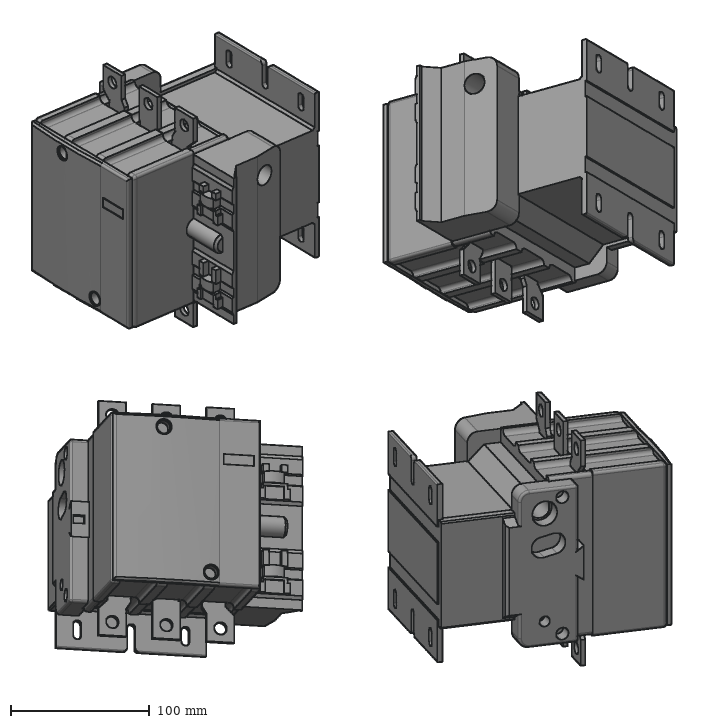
import cadquery as cq


SIDES = (-1, 1)
POLES = (-1, 0, 1)

PLATE_WIDTH = 111.0
PLATE_HALF_HEIGHT = 68.8
PLATE_THICKNESS = 4.2
PLATE_FOOT_START = 36.0
PAD_HALF_HEIGHT = 23.7
SLOT_WIDTH = 6.0
SLOT_LENGTH = 14.0
SLOT_Z = 54.8
SLOT_X = 40.0
NOTCH_BOTTOM = 48.2
NOTCH_ROUND = 3.0
PLATE_EDGE_ROUND = 1.0
CORNER_RIB = 2.0

BODY_LEFT = -53.3
BODY_RIGHT = PLATE_WIDTH / 2
BODY_BACK = -1.3
BODY_HALF_HEIGHT = 38.5
RAMP_START = -60.3
RAMP_END = -72.6
SHOULDER_HALF_HEIGHT = 50.3

END_BLOCK_LEFT = -60.9
END_BLOCK_FRONT = -58.5
END_BLOCK_HALF_HEIGHT = 41.3
END_BLOCK_CHAMFER = 1.2

MID_HALF_WIDTH = 54.6
MID_BACK = -85.1
MID_HALF_HEIGHT = 62.8
MID_CORNER = 3.0

FRONT_HALF_WIDTH = 55.3
FRONT_BACK = -118.3
FRONT_END = -175.2
FRONT_HALF_HEIGHT = 63.5
FRONT_CORNER = 2.2
FRONT_EDGE_ROUND = 3.2

CHANNEL_PITCH = 35.0
CHANNEL_FLOOR = 58.6
MID_CHANNEL_WIDTH = 28.4
MID_CHANNEL_RADIUS = 4.2
FRONT_CHANNEL_WIDTH = 27.2
FRONT_CHANNEL_RADIUS = 3.2
POLE_SLOT_WIDTH = 17.2

BAR_PITCH = 40.0
BAR_WIDTH = 20.4
BAR_NECK_WIDTH = 17.0
BAR_BACK = -110.8
BAR_THICKNESS = 3.5
BAR_TOP = 87.0
BAR_BOTTOM = 50.0
BAR_SHOULDER = 67.0
BAR_OUTER_TAPER = 6.5
BAR_INNER_TAPER = 5.2
BAR_HOLE_Z = 76.9
BAR_HOLE_DIAMETER = 9.2

CAP_HALF_WIDTH = 54.2
CAP_HALF_HEIGHT = 62.2
CAP_LEFT_Y = -179.0
CAP_PEAK_X = -13.0
CAP_PEAK_Y = -180.73
CAP_SEAM_X = 23.6
CAP_SEAM_Y = -179.5
CAP_EDGE_ROUND = 1.8
SCREWS = ((-17.4, 53.0), (17.7, -52.9))
SCREW_DIAMETER = 9.4
SCREW_RIM_DIAMETER = 11.2
SCREW_RIM_DEPTH = 1.5
SCREW_DEPTH = 8.0
LABEL_X = 38.1
LABEL_Z = 31.6
LABEL_WIDTH = 22.4
LABEL_HEIGHT = 7.6
LABEL_RAISE = 0.5

COVER_LEFT = -68.9
COVER_RIGHT = -53.3
COVER_FRONT_STEP = -55.3
COVER_BACK = -57.3
COVER_FRONT = -102.8
COVER_HALF_HEIGHT = 60.6
COVER_CORNER = 8.0
COVER_EDGE_ROUND = 2.0
TONGUE_FRONT = -107.0
TONGUE_ROOT_HALF = 9.0
TONGUE_TIP_HALF = 13.2
TONGUE_ROOT = -100.9
TONGUE_POCKET_X = -62.9
TONGUE_POCKET_WIDTH = 8.4
TONGUE_POCKET_HEIGHT = 6.2
TONGUE_POCKET_DEPTH = 4.0
TAIL_BACK = -48.0
TAIL_OUTER_HALF = 33.9
TAIL_INNER_HALF = 38.6
TAIL_CHAMFER = 2.2
SHAFT_Y = -77.2
SHAFT_Z = 41.7
SHAFT_DIAMETER = 15.7
SHAFT_RIM_DIAMETER = 18.8
BLIND_HOLE_DEPTH = 12.0
SMALL_HOLE_DIAMETER = 7.8
SCREW_HOLE_DIAMETER = 9.3
SCREW_HOLE_Y = -90.6
SCREW_HOLE_Z = 52.7
OVAL_REAR = (-75.2, 15.7)
OVAL_FRONT = (-84.9, 17.6)
OVAL_RADIUS = 8.0

MODULE_RIGHT = 99.6
MODULE_BACK = -59.7
MODULE_BACK_RIGHT = 82.5
MODULE_WAIST_X = 87.1
MODULE_WAIST_BACK = -85.1
MODULE_WAIST_FRONT = -105.3
FLANGE_BACK = -115.4
FLANGE_FACE = -118.2
FLANGE_FOOT_X = 97.0
MODULE_HALF_HEIGHT = 60.8
STRIP_FACE = -119.6
STRIP_OUTER = 53.4
STRIP_INNER = 16.4
STRIP_BEVEL = 2.75
STRIP_PITCH = 69.8
GROOVE_TOP = 39.6
GROOVE_BOTTOM = 30.7
GROOVE_BEVEL = 0.9

CLIP_X = 78.1
CLIP_FRONT = -124.6
CLIP_FOOT_WIDTH = 22.3
CLIP_FOOT_TOP = 26.8
CLIP_WIDTH = 18.2
UPPER_CLIP_TOP = 44.7
LOWER_CLIP_TOP = STRIP_OUTER - STRIP_BEVEL
CLIP_GAP_WIDTH = 9.3
CLIP_BRIDGE_LEFT = 69.9
CLIP_BRIDGE_RIGHT = 84.7
CLIP_BRIDGE_FRONT = -126.5
CLIP_BRIDGE_TOP = 39.2
CLIP_POCKET_LEFT = 70.5
CLIP_POCKET_TOP = 28.8
CLIP_POCKET_DEPTH = 2.0

PLUNGER_RADIUS = 7.8
PLUNGER_RIGHT = 87.5
PLUNGER_FRONT = -125.0
PLUNGER_CHAMFER = 2.0

OVERLAP = 1.0


def block(x0, x1, y0, y1, z0, z1):
    """Box between two corners given in any order."""
    return cq.Workplane("XY").box(abs(x1 - x0), abs(y1 - y0), abs(z1 - z0)).translate(
        ((x0 + x1) / 2, (y0 + y1) / 2, (z0 + z1) / 2)
    )


def side_prism(points, x0, x1):
    """Prism along X with a (Y, Z) outline."""
    return cq.Workplane("YZ", origin=(x0, 0, 0)).polyline(points).close().extrude(x1 - x0)


def side_cylinder(y, z, diameter, x0, x1):
    """Cylinder along X."""
    return cq.Workplane("YZ", origin=(x0, 0, 0)).center(y, z).circle(diameter / 2).extrude(x1 - x0)


def front_cylinder(x, z, diameter, y_front, depth):
    """Cylinder along Y that runs back from y_front."""
    return cq.Workplane("XZ", origin=(x, y_front, z)).circle(diameter / 2).extrude(-depth)


def mirror_z(shape):
    """Shape together with its mirror image below Z = 0."""
    return shape.union(shape.mirror("XY"))


def mounting_foot():
    """Upper half of the mounting plate with two slots and the open notch."""
    half = PLATE_WIDTH / 2
    foot = block(-half, half, 0, -PLATE_THICKNESS, PLATE_FOOT_START, PLATE_HALF_HEIGHT)
    foot = foot.faces(">Z").edges("|X").fillet(PLATE_EDGE_ROUND)
    slots = (
        cq.Workplane("XZ")
        .pushPoints([(side * SLOT_X, SLOT_Z) for side in SIDES])
        .slot2D(SLOT_LENGTH, SLOT_WIDTH, 90)
        .extrude(PLATE_THICKNESS)
    )
    slot_half = SLOT_WIDTH / 2
    mouth = slot_half + NOTCH_ROUND
    notch = (
        cq.Workplane("XZ")
        .moveTo(-mouth, PLATE_HALF_HEIGHT)
        .radiusArc((-slot_half, PLATE_HALF_HEIGHT - NOTCH_ROUND), NOTCH_ROUND)
        .lineTo(-slot_half, NOTCH_BOTTOM + slot_half)
        .threePointArc((0, NOTCH_BOTTOM), (slot_half, NOTCH_BOTTOM + slot_half))
        .lineTo(slot_half, PLATE_HALF_HEIGHT - NOTCH_ROUND)
        .radiusArc((mouth, PLATE_HALF_HEIGHT), NOTCH_ROUND)
        .close()
        .extrude(PLATE_THICKNESS)
    )
    inside_corner = side_prism(
        [
            (-PLATE_THICKNESS, BODY_HALF_HEIGHT),
            (-PLATE_THICKNESS - CORNER_RIB, BODY_HALF_HEIGHT),
            (-PLATE_THICKNESS, BODY_HALF_HEIGHT + CORNER_RIB),
        ],
        BODY_LEFT,
        BODY_RIGHT,
    )
    return foot.cut(slots).cut(notch).union(inside_corner)


def rear_body():
    """Core of the housing, end block and mounting plate."""
    upper = [
        (BODY_BACK, BODY_HALF_HEIGHT),
        (RAMP_START, BODY_HALF_HEIGHT),
        (RAMP_END, SHOULDER_HALF_HEIGHT),
        (MID_BACK - OVERLAP, SHOULDER_HALF_HEIGHT),
    ]
    lower = [(y, -z) for y, z in reversed(upper)]
    core = side_prism(upper + lower, BODY_LEFT, BODY_RIGHT)
    front_trim = block(
        MID_HALF_WIDTH,
        BODY_RIGHT,
        RAMP_START,
        MID_BACK - OVERLAP,
        -SHOULDER_HALF_HEIGHT,
        SHOULDER_HALF_HEIGHT,
    )
    end_block = block(
        END_BLOCK_LEFT, BODY_LEFT, BODY_BACK, END_BLOCK_FRONT, -END_BLOCK_HALF_HEIGHT, END_BLOCK_HALF_HEIGHT
    )
    end_block = end_block.faces("<X").edges("|Y").chamfer(END_BLOCK_CHAMFER)
    half = PLATE_WIDTH / 2
    pad = block(-half, half, 0, BODY_BACK, -PAD_HALF_HEIGHT, PAD_HALF_HEIGHT)
    return core.cut(front_trim).union(end_block).union(pad).union(mirror_z(mounting_foot()))


def channels(width, radius, top, y_back, y_front):
    """One round-cornered channel per pole, on the top and the bottom."""
    half = width / 2
    bend = CHANNEL_FLOOR + radius
    cutter = None
    for pole in POLES:
        channel = (
            cq.Workplane("XZ", origin=(pole * CHANNEL_PITCH, y_back, 0))
            .moveTo(-half, top + OVERLAP)
            .lineTo(-half, bend)
            .radiusArc((-half + radius, CHANNEL_FLOOR), -radius)
            .lineTo(half - radius, CHANNEL_FLOOR)
            .radiusArc((half, bend), -radius)
            .lineTo(half, top + OVERLAP)
            .close()
            .extrude(y_back - y_front)
        )
        cutter = channel if cutter is None else cutter.union(channel)
    return mirror_z(cutter)


def middle_block():
    """Block behind the front block, with the channels that hold the terminal bars."""
    body = block(
        -MID_HALF_WIDTH, MID_HALF_WIDTH, MID_BACK, FRONT_BACK, -MID_HALF_HEIGHT, MID_HALF_HEIGHT
    )
    body = body.edges("|Y").fillet(MID_CORNER)
    body = body.cut(
        channels(MID_CHANNEL_WIDTH, MID_CHANNEL_RADIUS, MID_HALF_HEIGHT, MID_BACK, FRONT_BACK)
    )
    for pole in POLES:
        centre = pole * CHANNEL_PITCH
        slot = block(
            centre - POLE_SLOT_WIDTH / 2,
            centre + POLE_SLOT_WIDTH / 2,
            BAR_BACK - BAR_THICKNESS,
            FRONT_BACK,
            -MID_HALF_HEIGHT,
            MID_HALF_HEIGHT,
        )
        body = body.cut(slot)
    return body


def front_block():
    """Main front housing with ribs between its channels."""
    body = block(
        -FRONT_HALF_WIDTH, FRONT_HALF_WIDTH, FRONT_BACK, FRONT_END, -FRONT_HALF_HEIGHT, FRONT_HALF_HEIGHT
    )
    body = body.edges("|Y").fillet(FRONT_CORNER)
    body = body.faces("<Y").edges().fillet(FRONT_EDGE_ROUND)
    return body.cut(
        channels(FRONT_CHANNEL_WIDTH, FRONT_CHANNEL_RADIUS, FRONT_HALF_HEIGHT, FRONT_BACK, FRONT_END)
    )


def front_cap():
    """Bowed cover with a flat strip, label field and two screw holes."""
    cap = (
        cq.Workplane("XY", origin=(0, 0, -CAP_HALF_HEIGHT))
        .moveTo(-CAP_HALF_WIDTH, FRONT_END)
        .lineTo(-CAP_HALF_WIDTH, CAP_LEFT_Y)
        .threePointArc((CAP_PEAK_X, CAP_PEAK_Y), (CAP_SEAM_X, CAP_SEAM_Y))
        .lineTo(CAP_HALF_WIDTH, CAP_SEAM_Y)
        .lineTo(CAP_HALF_WIDTH, FRONT_END)
        .close()
        .extrude(2 * CAP_HALF_HEIGHT)
    )
    outer_edges = cq.selectors.BoxSelector(
        (-CAP_HALF_WIDTH - OVERLAP, CAP_PEAK_Y - OVERLAP, -CAP_HALF_HEIGHT - OVERLAP),
        (CAP_HALF_WIDTH + OVERLAP, CAP_LEFT_Y + OVERLAP / 2, CAP_HALF_HEIGHT + OVERLAP),
    )
    seam = cq.selectors.BoxSelector(
        (CAP_SEAM_X - OVERLAP, CAP_PEAK_Y, -OVERLAP), (CAP_SEAM_X + OVERLAP, CAP_LEFT_Y, OVERLAP)
    )
    cap = cap.edges(outer_edges - seam).fillet(CAP_EDGE_ROUND)
    label = block(
        LABEL_X - LABEL_WIDTH / 2,
        LABEL_X + LABEL_WIDTH / 2,
        CAP_SEAM_Y,
        CAP_SEAM_Y - LABEL_RAISE,
        LABEL_Z - LABEL_HEIGHT / 2,
        LABEL_Z + LABEL_HEIGHT / 2,
    )
    return cap.union(label)


def screw_holes():
    """Stepped screw holes in the cap."""
    holes = None
    for x, z in SCREWS:
        rim = front_cylinder(x, z, SCREW_RIM_DIAMETER, CAP_PEAK_Y, SCREW_RIM_DEPTH)
        shank = front_cylinder(x, z, SCREW_DIAMETER, CAP_PEAK_Y, SCREW_DEPTH)
        holes = rim.union(shank) if holes is None else holes.union(rim).union(shank)
    return holes


def terminal_bar(pole):
    """Upper terminal bar; the outer poles narrow towards their channel."""
    centre = pole * BAR_PITCH
    half = BAR_WIDTH / 2
    if pole == 0:
        outline = [(-half, BAR_BOTTOM), (-half, BAR_TOP), (half, BAR_TOP), (half, BAR_BOTTOM)]
    else:
        outer = abs(centre) + half
        inner = abs(centre) - half
        neck_outer = CHANNEL_PITCH + BAR_NECK_WIDTH / 2
        neck_inner = CHANNEL_PITCH - BAR_NECK_WIDTH / 2
        outline = [
            (outer, BAR_TOP),
            (outer, BAR_SHOULDER),
            (neck_outer, BAR_SHOULDER - BAR_OUTER_TAPER),
            (neck_outer, BAR_BOTTOM),
            (neck_inner, BAR_BOTTOM),
            (neck_inner, BAR_SHOULDER - BAR_INNER_TAPER),
            (inner, BAR_SHOULDER),
            (inner, BAR_TOP),
        ]
        outline = [(pole * x, z) for x, z in outline]
    bar = cq.Workplane("XZ", origin=(0, BAR_BACK, 0)).polyline(outline).close().extrude(BAR_THICKNESS)
    hole = front_cylinder(centre, BAR_HOLE_Z, BAR_HOLE_DIAMETER, BAR_BACK - BAR_THICKNESS, BAR_THICKNESS)
    return bar.cut(hole)


def cover_tail():
    """Tapered tail that reaches back over the end block."""
    tail = (
        cq.Workplane("XZ", origin=(0, TAIL_BACK, 0))
        .polyline(
            [
                (COVER_LEFT, -TAIL_OUTER_HALF),
                (COVER_LEFT, TAIL_OUTER_HALF),
                (END_BLOCK_LEFT, TAIL_INNER_HALF),
                (END_BLOCK_LEFT, -TAIL_INNER_HALF),
            ]
        )
        .close()
        .extrude(TAIL_BACK - COVER_BACK + 2 * COVER_EDGE_ROUND)
    )
    return tail.faces(">Y").edges("<X").chamfer(TAIL_CHAMFER)


def oval_hole():
    """Blind oval in the left cover, spanned between two equal circles."""
    dy = OVAL_FRONT[0] - OVAL_REAR[0]
    dz = OVAL_FRONT[1] - OVAL_REAR[1]
    length = (dy**2 + dz**2) ** 0.5
    reach_y = OVAL_RADIUS * dy / length
    reach_z = OVAL_RADIUS * dz / length
    return (
        cq.Workplane("YZ", origin=(COVER_LEFT, 0, 0))
        .moveTo(OVAL_REAR[0] - reach_z, OVAL_REAR[1] + reach_y)
        .lineTo(OVAL_FRONT[0] - reach_z, OVAL_FRONT[1] + reach_y)
        .threePointArc(
            (OVAL_FRONT[0] + reach_y, OVAL_FRONT[1] + reach_z),
            (OVAL_FRONT[0] + reach_z, OVAL_FRONT[1] - reach_y),
        )
        .lineTo(OVAL_REAR[0] + reach_z, OVAL_REAR[1] - reach_y)
        .threePointArc(
            (OVAL_REAR[0] - reach_y, OVAL_REAR[1] - reach_z),
            (OVAL_REAR[0] - reach_z, OVAL_REAR[1] + reach_y),
        )
        .close()
        .extrude(BLIND_HOLE_DEPTH)
    )


def left_cover():
    """Side cover with tail, dovetail tongue and blind holes."""
    cover = block(
        COVER_LEFT, COVER_RIGHT, COVER_BACK, COVER_FRONT, -COVER_HALF_HEIGHT, COVER_HALF_HEIGHT
    )
    cover = cover.edges("|X and >Y").fillet(COVER_CORNER)
    cover = cover.edges("<X or (|X and <Y)").fillet(COVER_EDGE_ROUND)
    clearance = block(
        COVER_FRONT_STEP, COVER_RIGHT, MID_BACK, COVER_FRONT, -COVER_HALF_HEIGHT, COVER_HALF_HEIGHT
    )
    cover = cover.cut(clearance)
    tongue = side_prism(
        [
            (TONGUE_ROOT + OVERLAP, -TONGUE_ROOT_HALF),
            (TONGUE_ROOT + OVERLAP, TONGUE_ROOT_HALF),
            (TONGUE_ROOT, TONGUE_ROOT_HALF),
            (TONGUE_FRONT, TONGUE_TIP_HALF),
            (TONGUE_FRONT, -TONGUE_TIP_HALF),
            (TONGUE_ROOT, -TONGUE_ROOT_HALF),
        ],
        COVER_LEFT,
        COVER_FRONT_STEP,
    )
    pocket = block(
        TONGUE_POCKET_X - TONGUE_POCKET_WIDTH / 2,
        TONGUE_POCKET_X + TONGUE_POCKET_WIDTH / 2,
        TONGUE_FRONT,
        TONGUE_FRONT + TONGUE_POCKET_DEPTH,
        -TONGUE_POCKET_HEIGHT / 2,
        TONGUE_POCKET_HEIGHT / 2,
    )
    return cover.union(cover_tail()).union(tongue.cut(pocket))


def cover_holes():
    """Blind holes in the left cover and the rim of the shaft hole."""
    bottom = COVER_LEFT + BLIND_HOLE_DEPTH
    holes = oval_hole()
    holes = holes.union(side_cylinder(SHAFT_Y, -SHAFT_Z, SMALL_HOLE_DIAMETER, COVER_LEFT, bottom))
    for side in SIDES:
        screw = side_cylinder(SCREW_HOLE_Y, side * SCREW_HOLE_Z, SCREW_HOLE_DIAMETER, COVER_LEFT, bottom)
        holes = holes.union(screw)
    return holes.union(side_cylinder(SHAFT_Y, SHAFT_Z, SHAFT_RIM_DIAMETER, COVER_LEFT, bottom))


def module_strip():
    """Raised pair of bands with a groove between them, above the module centre."""
    return side_prism(
        [
            (FLANGE_FACE, STRIP_OUTER),
            (STRIP_FACE, STRIP_OUTER - STRIP_BEVEL),
            (STRIP_FACE, GROOVE_TOP),
            (FLANGE_FACE, GROOVE_TOP - GROOVE_BEVEL),
            (FLANGE_FACE, GROOVE_BOTTOM + GROOVE_BEVEL),
            (STRIP_FACE, GROOVE_BOTTOM),
            (STRIP_FACE, STRIP_INNER + STRIP_BEVEL),
            (FLANGE_FACE, STRIP_INNER),
            (FLANGE_BACK, STRIP_INNER),
            (FLANGE_BACK, STRIP_OUTER),
        ],
        BODY_RIGHT,
        MODULE_RIGHT,
    )


def contact_clip(tab_top):
    """Clip with a wide foot, a bowed bridge and two tabs that end at tab_top, on the upper strip."""

    def slab(width, z0, z1):
        return block(CLIP_X - width / 2, CLIP_X + width / 2, FLANGE_FACE, CLIP_FRONT, z0, z1)

    clip = slab(CLIP_FOOT_WIDTH, STRIP_INNER + STRIP_BEVEL, CLIP_FOOT_TOP)
    clip = clip.union(slab(CLIP_WIDTH, STRIP_INNER + STRIP_BEVEL, GROOVE_BOTTOM))
    tabs = slab(CLIP_WIDTH, CLIP_BRIDGE_TOP, tab_top).cut(slab(CLIP_GAP_WIDTH, CLIP_BRIDGE_TOP, tab_top))
    bridge = (
        cq.Workplane("XY", origin=(0, 0, GROOVE_BOTTOM))
        .moveTo(CLIP_BRIDGE_LEFT, FLANGE_FACE)
        .lineTo(CLIP_BRIDGE_LEFT, CLIP_FRONT)
        .threePointArc(
            ((CLIP_BRIDGE_LEFT + CLIP_BRIDGE_RIGHT) / 2, CLIP_BRIDGE_FRONT),
            (CLIP_BRIDGE_RIGHT, CLIP_FRONT),
        )
        .lineTo(CLIP_BRIDGE_RIGHT, FLANGE_FACE)
        .close()
        .extrude(CLIP_BRIDGE_TOP - GROOVE_BOTTOM)
    )
    pocket = block(
        CLIP_POCKET_LEFT,
        CLIP_BRIDGE_RIGHT,
        CLIP_FRONT + CLIP_POCKET_DEPTH,
        CLIP_FRONT,
        STRIP_INNER + STRIP_BEVEL,
        CLIP_POCKET_TOP,
    )
    return clip.union(bridge).union(tabs).cut(pocket)


def right_module():
    """Auxiliary module on the +X side."""
    inside = MID_HALF_WIDTH
    body = (
        cq.Workplane("XY", origin=(0, 0, -MODULE_HALF_HEIGHT))
        .polyline(
            [
                (inside, MODULE_BACK),
                (MODULE_BACK_RIGHT, MODULE_BACK),
                (MODULE_WAIST_X, MODULE_WAIST_BACK),
                (MODULE_WAIST_X, MODULE_WAIST_FRONT),
                (FLANGE_FOOT_X, FLANGE_BACK),
                (MODULE_RIGHT, FLANGE_BACK),
                (MODULE_RIGHT, FLANGE_FACE),
                (inside, FLANGE_FACE),
            ]
        )
        .close()
        .extrude(2 * MODULE_HALF_HEIGHT)
    )
    body = body.faces(">Y").edges("|X").fillet(COVER_CORNER)
    upper_face = module_strip().union(contact_clip(UPPER_CLIP_TOP))
    lower_face = module_strip().union(contact_clip(LOWER_CLIP_TOP)).translate((0, 0, -STRIP_PITCH))
    plunger = side_cylinder(
        PLUNGER_FRONT + PLUNGER_RADIUS, 0, 2 * PLUNGER_RADIUS, inside, PLUNGER_RIGHT
    )
    plunger = plunger.faces(">X").chamfer(PLUNGER_CHAMFER)
    return body.union(upper_face).union(lower_face).union(plunger)


def contactor():
    """Complete part."""
    part = rear_body().union(middle_block())
    for pole in POLES:
        part = part.union(mirror_z(terminal_bar(pole)))
    part = part.union(front_block()).union(front_cap()).cut(screw_holes())
    part = part.union(left_cover()).union(right_module())
    shaft = side_cylinder(SHAFT_Y, SHAFT_Z, SHAFT_DIAMETER, COVER_LEFT, MODULE_RIGHT)
    return part.cut(cover_holes()).cut(shaft)


result = contactor()